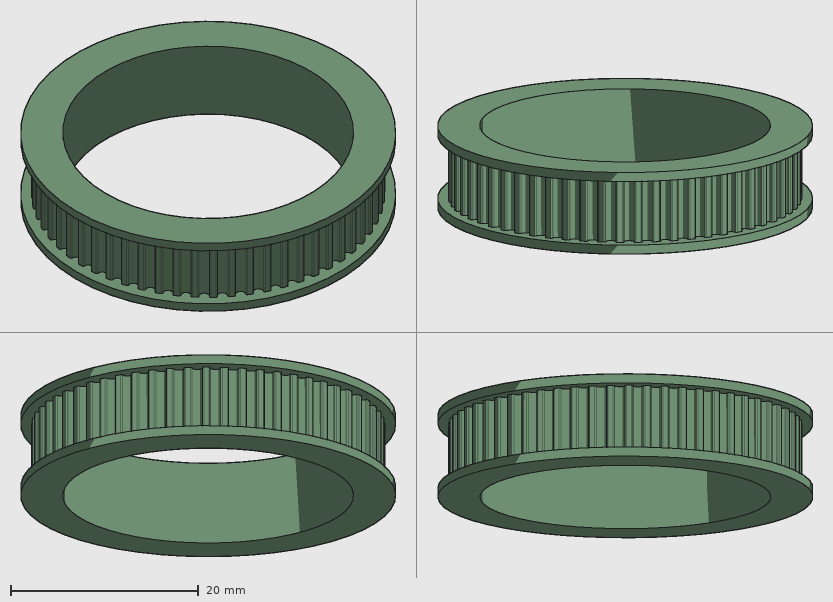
import cadquery as cq
import math

flange_diameter = 40.0
bore_diameter = 31.0
total_height = 9.0
flange_thickness = 1.0

tooth_count = 60
tooth_tip_diameter = 37.7
groove_radius = 0.55
groove_depth = 0.75
tip_fillet = 0.15

rim_height = total_height - 2 * flange_thickness
tip_radius = tooth_tip_diameter / 2
tooth_pitch_angle = 2 * math.pi / tooth_count

floor_center_out = tip_radius - groove_depth + groove_radius
fillet_center_side = groove_radius + tip_fillet
fillet_center_out = math.sqrt((tip_radius - tip_fillet) ** 2 - fillet_center_side ** 2)

land_start_angle = math.asin(fillet_center_side / (tip_radius - tip_fillet))
fillet_middle_angle = math.pi / 4 - land_start_angle / 2


def polar_point(radius, angle):
    return (radius * math.cos(angle), radius * math.sin(angle))


def groove_point(out, side, groove_angle):
    """Turn a point from the groove's own directions into part coordinates."""
    x = out * math.cos(groove_angle) - side * math.sin(groove_angle)
    y = out * math.sin(groove_angle) + side * math.cos(groove_angle)
    return (x, y)


def add_groove_and_land(outline, groove_angle):
    """Continue the outline through one groove and along the tooth land that follows it."""
    fillet_middle_out = fillet_center_out + tip_fillet * math.sin(fillet_middle_angle)
    fillet_middle_side = fillet_center_side - tip_fillet * math.cos(fillet_middle_angle)
    return (
        outline
        .threePointArc(
            groove_point(fillet_middle_out, -fillet_middle_side, groove_angle),
            groove_point(fillet_center_out, -groove_radius, groove_angle),
        )
        .lineTo(*groove_point(floor_center_out, -groove_radius, groove_angle))
        .threePointArc(
            groove_point(tip_radius - groove_depth, 0, groove_angle),
            groove_point(floor_center_out, groove_radius, groove_angle),
        )
        .lineTo(*groove_point(fillet_center_out, groove_radius, groove_angle))
        .threePointArc(
            groove_point(fillet_middle_out, fillet_middle_side, groove_angle),
            polar_point(tip_radius, groove_angle + land_start_angle),
        )
        .threePointArc(
            polar_point(tip_radius, groove_angle + tooth_pitch_angle / 2),
            polar_point(tip_radius, groove_angle + tooth_pitch_angle - land_start_angle),
        )
    )


def make_toothed_rim():
    outline = cq.Workplane("XY").workplane(offset=-rim_height / 2)
    outline = outline.moveTo(*polar_point(tip_radius, -land_start_angle))
    for groove in range(tooth_count):
        outline = add_groove_and_land(outline, groove * tooth_pitch_angle)
    return outline.close().extrude(rim_height)


def make_flange(bottom_z):
    return (
        cq.Workplane("XY")
        .workplane(offset=bottom_z)
        .circle(flange_diameter / 2)
        .extrude(flange_thickness)
    )


def make_bore():
    return (
        cq.Workplane("XY")
        .workplane(offset=-total_height / 2)
        .circle(bore_diameter / 2)
        .extrude(total_height)
    )


lower_flange = make_flange(-total_height / 2)
upper_flange = make_flange(rim_height / 2)
result = make_toothed_rim().union(lower_flange).union(upper_flange).cut(make_bore())